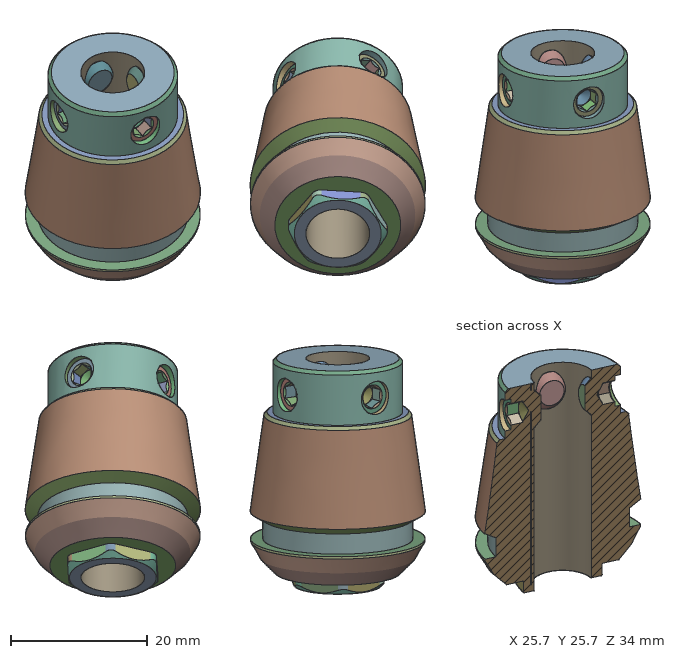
import cadquery as cq
import math

total_height = 34.0
bore_diameter = 9.3

hex_across_flats = 13.0
hex_height = 1.97
hex_corner_radius = 1.5
hex_end_diameter = 12.7

flange_bottom_diameter = 18.43
flange_knee_diameter = 22.78
rim_diameter = 25.6
flange_knee_z = 4.18
rim_bottom_z = 6.65
rim_top_z = 7.0

groove_diameter = 22.0
groove_top_z = 10.03
sleeve_diameter = 25.7
sleeve_base_z = 11.12
sleeve_top_diameter = 21.7
sleeve_top_z = 25.98
sleeve_chamfer = 0.48

neck_diameter = 19.0
neck_chamfer = 0.5

screw_count = 4
screw_diameter = 6.0
screw_hole_diameter = 4.93
screw_z = 29.68
screw_tip_distance = 3.57
screw_length = 5.0
screw_tip_chamfer = 1.0
socket_across_flats = 3.0
socket_depth = 2.05
socket_countersink_diameter = 3.57
drill_point_angle = 118.0


def revolved(points):
    """Solid of revolution about Z from (radius, height) points."""
    return cq.Workplane("XZ").polyline(points).close().revolve(360, (0, 0, 0), (0, 1, 0))


def hexagon_corner_diameter(across_flats):
    return across_flats / math.cos(math.pi / 6)


def make_body():
    """Flange, groove, sleeve and neck as one turned profile."""
    neck_radius = neck_diameter / 2
    sleeve_top_radius = sleeve_top_diameter / 2
    return revolved([
        (0, hex_height),
        (flange_bottom_diameter / 2, hex_height),
        (flange_knee_diameter / 2, flange_knee_z),
        (rim_diameter / 2, rim_bottom_z),
        (rim_diameter / 2, rim_top_z),
        (groove_diameter / 2, rim_top_z),
        (groove_diameter / 2, groove_top_z),
        (sleeve_diameter / 2, sleeve_base_z),
        (sleeve_top_radius, sleeve_top_z - sleeve_chamfer),
        (sleeve_top_radius - sleeve_chamfer, sleeve_top_z),
        (neck_radius, sleeve_top_z),
        (neck_radius, total_height - neck_chamfer),
        (neck_radius - neck_chamfer, total_height),
        (0, total_height),
    ])


def make_hex_end():
    """Hexagon with rounded corners, its lower end trimmed by a 45 degree cone."""
    hexagon = (
        cq.Workplane("XY")
        .polygon(6, hexagon_corner_diameter(hex_across_flats))
        .extrude(hex_height)
        .edges("|Z")
        .fillet(hex_corner_radius)
    )
    end_radius = hex_end_diameter / 2
    cone = revolved([
        (0, 0),
        (end_radius, 0),
        (end_radius + hex_height, hex_height),
        (0, hex_height),
    ])
    return hexagon.intersect(cone)


def make_socket():
    """Hexagon socket cutter opening at z = 0 and reaching downwards, with countersink and drill point."""
    corner_diameter = hexagon_corner_diameter(socket_across_flats)
    hexagon = (
        cq.Workplane("XY")
        .transformed(rotate=(0, 0, 90))
        .polygon(6, corner_diameter)
        .extrude(-socket_depth)
    )
    drill_radius = socket_across_flats / 2
    point_depth = drill_radius / math.tan(math.radians(drill_point_angle / 2))
    drill_point = revolved([
        (0, -socket_depth),
        (drill_radius, -socket_depth),
        (0, -socket_depth - point_depth),
    ])
    countersink_radius = socket_countersink_diameter / 2
    countersink = revolved([(0, 0), (countersink_radius, 0), (0, -countersink_radius)])
    return hexagon.union(drill_point).union(countersink)


def make_screw():
    """Set screw along Z with its tip at z = 0 and its socket at the outer end."""
    screw = (
        cq.Workplane("XY")
        .circle(screw_diameter / 2)
        .extrude(screw_length)
        .faces("<Z")
        .chamfer(screw_tip_chamfer)
    )
    return screw.cut(make_socket().translate((0, 0, screw_length)))


def make_screw_hole():
    """Clear hole along Z running from the screw tip out past the neck."""
    return cq.Workplane("XY").circle(screw_hole_diameter / 2).extrude(neck_diameter / 2)


def placed_on_neck(shape, index):
    """Turn a shape from the Z axis to point out of the neck, at its place around the axis."""
    pointing_outwards = shape.rotate((0, 0, 0), (1, 0, 0), 90)
    on_neck = pointing_outwards.translate((0, -screw_tip_distance, screw_z))
    return on_neck.rotate((0, 0, 0), (0, 0, 1), index * 360 / screw_count)


bore = cq.Workplane("XY").circle(bore_diameter / 2).extrude(total_height)
result = make_body().union(make_hex_end()).cut(bore)

screw_hole = make_screw_hole()
screw = make_screw()
for position in range(screw_count):
    result = result.cut(placed_on_neck(screw_hole, position))
    result = result.union(placed_on_neck(screw, position))